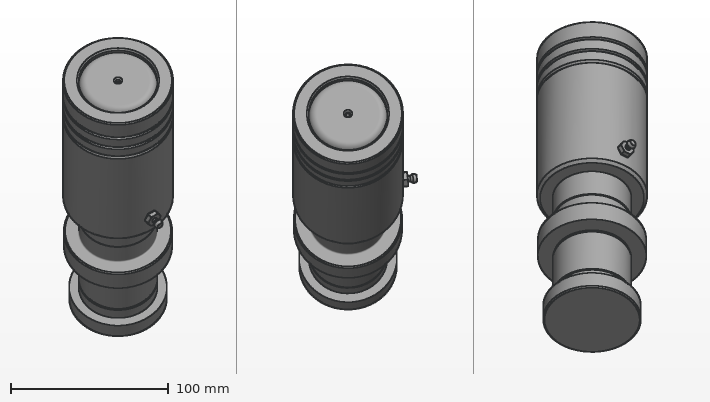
import cadquery as cq
import math

TOTAL_HEIGHT = 225.0

DIAGONAL = math.sqrt(0.5)

PILLAR_RADIUS = 25.0
PILLAR_TOP_FILLET = 5.0
RELIEF_DEPTH = 0.2
RELIEF_TOP = 85.5
RELIEF_RAMP = 0.7
COLLAR_RADIUS = 34.5
COLLAR_BOTTOM = 55.0
COLLAR_THICKNESS = 15.0
COLLAR_TOP = COLLAR_BOTTOM + COLLAR_THICKNESS
COLLAR_CHAMFER = 1.0
COLLAR_ROOT_FILLET = 1.0
UNDERCUT_DEPTH = 0.7
UNDERCUT_HEIGHT = 1.4
PILLAR_END_CHAMFER = 1.1
CENTER_HOLE_RADIUS = 2.7
CENTER_BORE_RADIUS = 1.5
CENTER_CONE_DEPTH = 1.1
CENTER_BORE_DEPTH = 2.2
DRILL_POINT_HALF_ANGLE = 59.0

DISC_RADIUS = 31.0
DISC_THICKNESS = 12.0
DISC_CHAMFER = 1.0
STUB_TOP = 20.0

SLEEVE_DIAMETER = 70.0
SLEEVE_RADIUS = SLEEVE_DIAMETER / 2
SLEEVE_LENGTH = 120.2
SLEEVE_BOTTOM = TOTAL_HEIGHT - SLEEVE_LENGTH
SLEEVE_TOP_CHAMFER = 1.0
SLEEVE_BOTTOM_CHAMFER = 2.0
BORE_CHAMFER = 1.1
RING_GROOVE_WIDTH = 2.2
RING_GROOVE_FLOOR = 1.4
RING_GROOVE_DEPTH = 1.5
RING_GROOVE_OFFSETS = (14.8, 25.0)
V_GROOVE_OFFSET = 34.6
V_GROOVE_DEPTH = 1.4

FITTING_HEIGHT = SLEEVE_BOTTOM + 15.0
FITTING_ANGLE = -15.0
HEX_ACROSS_FLATS = 9.0
HEX_SEAT = 34.5
HEX_FACE = 38.0
HEX_CORNER_TRIM = 0.5
NECK_END = 39.5
HEAD_PEAK = 41.5
FITTING_TIP = 43.9
NECK_RADIUS = 1.8
HEAD_RADIUS = 3.0
TIP_RADIUS = 2.0
HEAD_MID = (43.0, 2.7)
SHANK_RADIUS = 3.0
SHANK_LENGTH = 5.6


def cylinder(radius, bottom, top):
    return cq.Workplane("XY").workplane(offset=bottom).circle(radius).extrude(top - bottom)


def revolve_about_z(points):
    return cq.Workplane("XZ").polyline(points).close().revolve(360, (0, 0), (0, 1))


def make_center_hole():
    bore_top = TOTAL_HEIGHT - CENTER_CONE_DEPTH
    bore_bottom = bore_top - CENTER_BORE_DEPTH
    point_depth = CENTER_BORE_RADIUS / math.tan(math.radians(DRILL_POINT_HALF_ANGLE))
    return revolve_about_z([
        (0, TOTAL_HEIGHT),
        (CENTER_HOLE_RADIUS, TOTAL_HEIGHT),
        (CENTER_BORE_RADIUS, bore_top),
        (CENTER_BORE_RADIUS, bore_bottom),
        (0, bore_bottom - point_depth),
    ])


def make_pillar():
    relief_radius = PILLAR_RADIUS - RELIEF_DEPTH
    root_radius = relief_radius + COLLAR_ROOT_FILLET
    undercut_radius = PILLAR_RADIUS - UNDERCUT_DEPTH
    undercut_bottom = COLLAR_BOTTOM - UNDERCUT_HEIGHT
    fillet_side = PILLAR_TOP_FILLET * DIAGONAL
    fillet_mid = (
        PILLAR_RADIUS - PILLAR_TOP_FILLET + fillet_side,
        TOTAL_HEIGHT - PILLAR_TOP_FILLET + fillet_side,
    )
    root_side = COLLAR_ROOT_FILLET * (1 - DIAGONAL)
    profile = (
        cq.Workplane("XZ")
        .moveTo(0, STUB_TOP)
        .lineTo(PILLAR_RADIUS - PILLAR_END_CHAMFER, STUB_TOP)
        .lineTo(PILLAR_RADIUS, STUB_TOP + PILLAR_END_CHAMFER)
        .lineTo(PILLAR_RADIUS, undercut_bottom - UNDERCUT_DEPTH)
        .lineTo(undercut_radius, undercut_bottom)
        .lineTo(undercut_radius, COLLAR_BOTTOM)
        .lineTo(COLLAR_RADIUS, COLLAR_BOTTOM)
        .lineTo(COLLAR_RADIUS, COLLAR_TOP - COLLAR_CHAMFER)
        .lineTo(COLLAR_RADIUS - COLLAR_CHAMFER, COLLAR_TOP)
        .lineTo(root_radius, COLLAR_TOP)
        .threePointArc(
            (relief_radius + root_side, COLLAR_TOP + root_side),
            (relief_radius, COLLAR_TOP + COLLAR_ROOT_FILLET),
        )
        .lineTo(relief_radius, RELIEF_TOP - RELIEF_RAMP)
        .lineTo(PILLAR_RADIUS, RELIEF_TOP)
        .lineTo(PILLAR_RADIUS, TOTAL_HEIGHT - PILLAR_TOP_FILLET)
        .threePointArc(fillet_mid, (PILLAR_RADIUS - PILLAR_TOP_FILLET, TOTAL_HEIGHT))
        .lineTo(0, TOTAL_HEIGHT)
        .close()
    )
    return profile.revolve(360, (0, 0), (0, 1)).cut(make_center_hole())


def make_end_disc():
    disc = cylinder(DISC_RADIUS, 0, DISC_THICKNESS).faces("<Z").chamfer(DISC_CHAMFER)
    return disc.union(cylinder(PILLAR_RADIUS, DISC_THICKNESS, STUB_TOP))


def make_fitting():
    corner_radius = HEX_ACROSS_FLATS / math.sqrt(3)
    hex_base = cq.Workplane("YZ", origin=(HEX_SEAT, 0, 0))
    hex_length = HEX_FACE - HEX_SEAT
    hexagon = hex_base.polygon(6, 2 * corner_radius).extrude(hex_length)
    bevel = hex_base.circle(corner_radius).extrude(hex_length).faces(">X").chamfer(HEX_CORNER_TRIM)
    hexagon = hexagon.intersect(bevel)
    shank_end = HEX_SEAT - SHANK_LENGTH
    turned = (
        cq.Workplane("XY")
        .moveTo(shank_end, 0)
        .lineTo(shank_end, SHANK_RADIUS)
        .lineTo(HEX_SEAT, SHANK_RADIUS)
        .lineTo(HEX_SEAT, NECK_RADIUS)
        .lineTo(NECK_END, NECK_RADIUS)
        .lineTo(HEAD_PEAK, HEAD_RADIUS)
        .threePointArc(HEAD_MID, (FITTING_TIP, TIP_RADIUS))
        .lineTo(FITTING_TIP, 0)
        .close()
        .revolve(360, (0, 0), (1, 0))
    )
    fitting = hexagon.union(turned)
    return fitting.rotate((0, 0, 0), (0, 0, 1), FITTING_ANGLE).translate((0, 0, FITTING_HEIGHT))


def make_ring_groove(offset):
    center = TOTAL_HEIGHT - offset
    floor_radius = SLEEVE_RADIUS - RING_GROOVE_DEPTH
    return revolve_about_z([
        (SLEEVE_RADIUS, center - RING_GROOVE_WIDTH / 2),
        (floor_radius, center - RING_GROOVE_FLOOR / 2),
        (floor_radius, center + RING_GROOVE_FLOOR / 2),
        (SLEEVE_RADIUS, center + RING_GROOVE_WIDTH / 2),
    ])


def make_v_groove():
    center = TOTAL_HEIGHT - V_GROOVE_OFFSET
    return revolve_about_z([
        (SLEEVE_RADIUS, center - V_GROOVE_DEPTH),
        (SLEEVE_RADIUS - V_GROOVE_DEPTH, center),
        (SLEEVE_RADIUS, center + V_GROOVE_DEPTH),
    ])


def make_sleeve(fitting):
    sleeve = cylinder(SLEEVE_RADIUS, SLEEVE_BOTTOM, TOTAL_HEIGHT)
    sleeve = sleeve.faces(">Z").chamfer(SLEEVE_TOP_CHAMFER)
    sleeve = sleeve.faces("<Z").chamfer(SLEEVE_BOTTOM_CHAMFER)
    sleeve = sleeve.cut(cylinder(PILLAR_RADIUS, SLEEVE_BOTTOM, TOTAL_HEIGHT))
    sleeve = sleeve.faces(">Z").edges(cq.selectors.RadiusNthSelector(0)).chamfer(BORE_CHAMFER)
    for offset in RING_GROOVE_OFFSETS:
        sleeve = sleeve.cut(make_ring_groove(offset))
    sleeve = sleeve.cut(make_v_groove())
    return sleeve.cut(fitting)


pillar = make_pillar()
end_disc = make_end_disc()
fitting = make_fitting()
sleeve = make_sleeve(fitting)

result = cq.Compound.makeCompound([pillar.val(), end_disc.val(), sleeve.val(), fitting.val()])